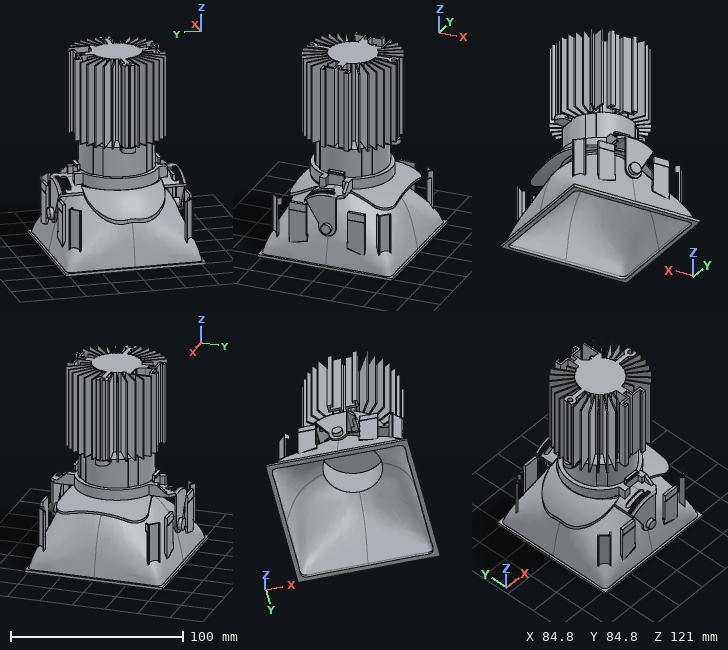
import cadquery as cq
import math


MARGIN = 1.0

TRIM_SIDE = 84.8
TRIM_THICKNESS = 1.8
SHELL_WALL = 1.5
SHELL_RADIUS = 38.0
SPHERE_Z = 10.6
SHELL_FOOT_HALF = 40.9
SHELL_WAIST_Z = 14.0
SHELL_WAIST_HALF = 38.4
SHELL_ROUND_Z = 27.0
SHELL_TOP_Z = 43.6
SHELL_SPLINE_POINTS = 14

PIVOT_Z = 25.0
STUD_END_Y = 41.0
FRONT_STUD_RADIUS = 3.05
BACK_STUD_RADIUS = 3.6

CLIP_TOP_Z = 37.6
CLIP_STEP_Z = 32.8
CLIP_WIDTH = 10.6
CLIP_CENTRE_X = 18.4
CLIP_INNER_Y = 37.2
CLIP_OUTER_Y = 39.0
CLIP_HEAD_Y = 39.3
CLIP_FOOT_Z = 11.3
CLIP_FOOT_SLOPE = 2.9
CLIP_TOE = 0.5
CLIP_TOE_Z = 18.0

CORNER_CLIP_RADIUS = 47.9
CORNER_CLIP_WIDTH = 7.8
CORNER_CLIP_WALL = 0.8
CORNER_CLIP_FLANGE = 0.5
CORNER_CLIP_FOOT_Z = 11.8
CORNER_TAB_DEPTH = 2.2
CORNER_CLIPS = [
    (45, -1, CLIP_STEP_Z),
    (135, -1, CLIP_STEP_Z),
    (225, 1, CLIP_STEP_Z),
    (315, -1, CORNER_CLIP_FOOT_Z),
]

RING_RADIUS = 24.7
RING_BOTTOM_Z = 43.9
RING_TOP_Z = 51.2
TUBE_HALF_X = 22.0
TUBE_HALF_Y = 22.5
TUBE_BORE_RADIUS = 20.5
TUBE_TOP_Z = 69.2
TUBE_ROOF = 2.0
TUBE_CHANNEL_WIDTH = 6.5
TUBE_CHANNEL_FLOOR = 21.6
EAR_X = 26.0
EAR_RADIUS = 4.05
EAR_BOTTOM_Z = 67.8

DOME_RADIUS = 41.2
DOME_CROWN_RADIUS = 48.0
DOME_THICKNESS = 1.0
DOME_END_X = -36.4
DOME_HALF_WIDTH = 24.1
DOME_CORNER = 20.5

FLAP_RADIUS = 84.0
FLAP_CENTRE_Z = -35.6
FLAP_THICKNESS = 1.2
FLAP_END_X = 35.0
FLAP_WIDE_X = 25.0
FLAP_HALF_WIDTH = 27.8
FLAP_ROOT_X = 9.3
FLAP_ROOT_HALF_WIDTH = 24.6
FLAP_CORNER = 9.5

ARM_INNER_Y = 37.4
ARM_OUTER_Y = 38.6
ARM_END_RADIUS = 5.3
DECK_INNER_RADIUS = 20.3
DECK_OUTER_RADIUS = 21.5
DECK_LEFT_X = -14.2
DECK_RIGHT_X = 9.3
DECK_FLAT_BOTTOM_Z = 44.3
ARM_TOP_RADIUS = DECK_INNER_RADIUS + 0.3
ARM_LEFT_X = -13.5
ARM_NECK_HEIGHT = 2.0
DECK_INNER_Y = 23.5
DECK_CORNER = 3.3
DECK_BEND = 1.1
DECK_SLOT_X = -5.35
DECK_SLOT_Y = 32.0
DECK_SLOT_LENGTH = 14.1
DECK_SLOT_WIDTH = 3.2
RACK_Y = (34.3, 36.3)
RACK_DEPTH = 0.6
RACK_PITCH_ANGLE = 1.8
RACK_GROOVES = 28
RACK_END_ANGLE = 8.0

LUG_INNER_X = 5.3
LUG_OUTER_X = 9.3
LUG_INNER_Y = 22.9
LUG_OUTER_Y = 27.9
GUSSET_THICKNESS = 1.9
GUSSET_END_Y = 33.4
HOOK_WIDTH = 9.7
HOOK_INNER_Y = 23.5
HOOK_THICKNESS = 1.3
HOOK_ROOT_RISE = 0.5
HOOK_TOP_Z = 55.2
HOOK_LIP_Y = 25.8
HOOK_LIP_DROP = 1.5
HOOK_LIP_THICKNESS = 0.6

SINK_BOTTOM_Z = 71.0
SINK_HEIGHT = 50.0
CORE_RADIUS = 14.9
FIN_TIP_RADIUS = 30.0
SHORT_FIN_TIP_RADIUS = 21.0
FIN_THICKNESS = 0.8
FIN_PITCH = 10
LONG_FINS = 6
LOBE_RADIUS = 3.7
LOBE_END_X = 28.4
LOBE_ARM_WIDTH = 3.0
SCREW_HOLE_RADIUS = 1.5
SCREW_SLOT_WIDTH = 1.0
STEM_WIDTH = 4.8
STEM_SLOT_WIDTH = 2.3
STEM_SLOT_START_Y = 19.4
CHANNEL_HALF_WIDTH = 8.9
CHANNEL_BASE_Y = 23.0
CHANNEL_WALL = 1.4
CHANNEL_OUTER_Y = 27.5
CHANNEL_LIP_LENGTH = 3.0
WIRE_POCKET_FLOOR_Y = 13.3
WIRE_POCKET_CURVE = 5.0
WIRE_FLOOR_FIN = 4
WIRE_FIN_X = 12.9
WIRE_FIN_THICKNESS = 1.2
WIRE_FIN_END_Y = 25.7
WIRE_STUB_X = 7.9
WIRE_STUB_WIDTH = 1.8
WIRE_STUB_HEIGHT = 1.4

BOTH_SIDES = (1, -1)


def block(x_range, y_range, z_range):
    """Box spanning the three given ranges, whose ends may come in either order."""
    spans = [(min(r), max(r)) for r in (x_range, y_range, z_range)]
    size = [high - low for low, high in spans]
    corner = [low for low, high in spans]
    return cq.Workplane("XY").box(*size, centered=False).translate(tuple(corner))


def cylinder(radius, z_bottom, z_top, x=0.0):
    return cq.Workplane("XY", origin=(x, 0, z_bottom)).circle(radius).extrude(z_top - z_bottom)


def ball(radius, z):
    return cq.Workplane("XY").sphere(radius).translate((0, 0, z))


def mirrored_pair(shape):
    """The shape on the +Y side joined with its mirror image on the -Y side."""
    return shape.union(shape.mirror("XZ"))


def shell_half_width(z):
    return math.sqrt(SHELL_RADIUS ** 2 - (z - SPHERE_Z) ** 2)


SHELL_SECTIONS = [
    (TRIM_THICKNESS, SHELL_FOOT_HALF, 36.0),
    (SHELL_WAIST_Z, SHELL_WAIST_HALF, 7.0),
    (SHELL_ROUND_Z, shell_half_width(SHELL_ROUND_Z), 2.2),
    (SHELL_TOP_Z, shell_half_width(SHELL_TOP_Z), 2.0),
]


def superellipse_point(half_width, exponent, angle):
    """Point of the superellipse in the direction of the angle."""
    x = math.cos(angle)
    y = math.sin(angle)
    radius = half_width / (abs(x) ** exponent + abs(y) ** exponent) ** (1 / exponent)
    return (radius * x, radius * y)


def shell_section(z, half_width, exponent):
    """Closed section of four spline quarters that meet in the middle of each side."""
    quarter_turn = math.pi / 2
    wire = cq.Workplane("XY", origin=(0, 0, z)).moveTo(half_width, 0)
    for quarter in range(4):
        start = quarter * quarter_turn
        points = []
        for step in range(1, SHELL_SPLINE_POINTS + 1):
            angle = start + quarter_turn * step / SHELL_SPLINE_POINTS
            points.append(superellipse_point(half_width, exponent, angle))
        start_tangent = (-math.sin(start), math.cos(start))
        end_tangent = (-math.cos(start), -math.sin(start))
        wire = wire.spline(points, tangents=[start_tangent, end_tangent], includeCurrent=True)
    return wire.close().wire().val()


def shell_loft(inset):
    sections = []
    for z, half_width, exponent in SHELL_SECTIONS:
        sections.append(shell_section(z, half_width - inset, exponent))
    return cq.Workplane("XY").newObject([cq.Solid.makeLoft(sections)])


def side_clip(side):
    """Flat spring clip on the +Y face; its foot slants up towards the middle of the face."""
    half = CLIP_WIDTH / 2
    profile = [
        (CLIP_INNER_Y, CLIP_FOOT_Z), (CLIP_OUTER_Y, CLIP_FOOT_Z), (CLIP_OUTER_Y, CLIP_STEP_Z),
        (CLIP_HEAD_Y, CLIP_STEP_Z), (CLIP_OUTER_Y, CLIP_TOP_Z), (CLIP_INNER_Y, CLIP_TOP_Z),
    ]
    width = CLIP_WIDTH + CLIP_TOE
    bar = cq.Workplane("YZ").polyline(profile).close().extrude(width).translate((-half, 0, 0))
    outline = [
        (-half, CLIP_FOOT_Z), (half + CLIP_TOE, CLIP_FOOT_Z + CLIP_FOOT_SLOPE),
        (half + CLIP_TOE, CLIP_TOE_Z), (half, CLIP_TOE_Z), (half, CLIP_TOP_Z), (-half, CLIP_TOP_Z),
    ]
    cutter = cq.Workplane("XZ").polyline(outline).close().extrude(-TRIM_SIDE)
    clip = bar.intersect(cutter).translate((-CLIP_CENTRE_X, 0, 0))
    return clip if side < 0 else clip.mirror("YZ")


def corner_clip(angle, tab_side, tab_bottom_z):
    """Channel-shaped clip across a corner, open outwards, with an inward tab at one edge."""
    half = CORNER_CLIP_WIDTH / 2
    z_range = (CORNER_CLIP_FOOT_Z, CLIP_TOP_Z)
    outer = CORNER_CLIP_RADIUS + CORNER_CLIP_WALL
    clip = block((CORNER_CLIP_RADIUS, outer), (-half, half), z_range)
    for side in BOTH_SIDES:
        edge = (side * half, side * (half - CORNER_CLIP_WALL))
        clip = clip.union(block((CORNER_CLIP_RADIUS, outer + CORNER_CLIP_FLANGE), edge, z_range))
    tab_edge = (tab_side * half, tab_side * (half - CORNER_CLIP_WALL))
    tab_reach = (CORNER_CLIP_RADIUS - CORNER_TAB_DEPTH, outer)
    clip = clip.union(block(tab_reach, tab_edge, (tab_bottom_z, CLIP_TOP_Z)))
    return clip.rotate((0, 0, 0), (0, 0, 1), angle)


def frame_fittings():
    """Spring clips and pivot studs, not yet joined to the shell."""
    pivot_plane = cq.Workplane("XZ", origin=(0, 0, PIVOT_Z))
    fittings = pivot_plane.circle(FRONT_STUD_RADIUS).extrude(STUD_END_Y)
    fittings = fittings.union(pivot_plane.circle(BACK_STUD_RADIUS).extrude(-STUD_END_Y))
    for side in BOTH_SIDES:
        fittings = fittings.union(mirrored_pair(side_clip(side)))
    for angle, tab_side, tab_bottom_z in CORNER_CLIPS:
        fittings = fittings.union(corner_clip(angle, tab_side, tab_bottom_z))
    return fittings


def make_frame():
    trim = cq.Workplane("XY").rect(TRIM_SIDE, TRIM_SIDE).extrude(TRIM_THICKNESS)
    frame = trim.union(shell_loft(0)).union(frame_fittings())
    foot_z, foot_half, foot_exponent = SHELL_SECTIONS[0]
    mouth_wire = shell_section(0, foot_half - SHELL_WALL, foot_exponent)
    mouth = cq.Workplane("XY").newObject([mouth_wire]).toPending().extrude(foot_z)
    return frame.cut(shell_loft(SHELL_WALL)).cut(mouth)


def holder_tube():
    """Closed-top tube of slightly oval section with four diagonal channels, standing in its ring."""
    tube = cq.Workplane("XY", origin=(0, 0, RING_BOTTOM_Z))
    tube = tube.ellipse(TUBE_HALF_X, TUBE_HALF_Y).extrude(TUBE_TOP_Z - RING_BOTTOM_Z)
    half_channel = TUBE_CHANNEL_WIDTH / 2
    channel_reach = (TUBE_CHANNEL_FLOOR, TUBE_HALF_Y + MARGIN)
    channel = block(channel_reach, (-half_channel, half_channel), (RING_TOP_Z, TUBE_TOP_Z))
    for angle in (45, 135, 225, 315):
        tube = tube.cut(channel.rotate((0, 0, 0), (0, 0, 1), angle))
    return tube.union(cylinder(RING_RADIUS, RING_BOTTOM_Z, RING_TOP_Z))


def ear(side):
    """Tongue on the tube carrying the post on which the heat sink stands."""
    x = side * EAR_X
    tongue_x = (side * TUBE_BORE_RADIUS, x)
    tongue = block(tongue_x, (-EAR_RADIUS, EAR_RADIUS), (EAR_BOTTOM_Z, TUBE_TOP_Z))
    return tongue.union(cylinder(EAR_RADIUS, EAR_BOTTOM_Z, SINK_BOTTOM_Z, x))


def barrel(radius, crown_radius):
    """Barrel lying along Y: radius at mid length, crown_radius is that of its bulging side."""
    half = DOME_HALF_WIDTH + MARGIN
    end_radius = radius - crown_radius + math.sqrt(crown_radius ** 2 - half ** 2)
    profile = cq.Workplane("XY").moveTo(0, -half).lineTo(end_radius, -half)
    profile = profile.threePointArc((radius, 0), (end_radius, half)).lineTo(0, half).close()
    return profile.revolve(360, (0, 0, 0), (0, 1, 0)).translate((0, 0, SPHERE_Z))


def dome_skirt():
    outline = block((DOME_END_X, 0), (-DOME_HALF_WIDTH, DOME_HALF_WIDTH), (SPHERE_Z, RING_BOTTOM_Z))
    outline = outline.edges("|Z and <X").fillet(DOME_CORNER)
    shell = barrel(DOME_RADIUS, DOME_CROWN_RADIUS)
    shell = shell.cut(barrel(DOME_RADIUS - DOME_THICKNESS, DOME_CROWN_RADIUS - DOME_THICKNESS))
    return shell.intersect(outline)


def flap():
    outline = [
        (0, -FLAP_ROOT_HALF_WIDTH), (FLAP_ROOT_X, -FLAP_ROOT_HALF_WIDTH),
        (FLAP_WIDE_X, -FLAP_HALF_WIDTH), (FLAP_END_X, -FLAP_HALF_WIDTH),
        (FLAP_END_X, FLAP_HALF_WIDTH), (FLAP_WIDE_X, FLAP_HALF_WIDTH),
        (FLAP_ROOT_X, FLAP_ROOT_HALF_WIDTH), (0, FLAP_ROOT_HALF_WIDTH),
    ]
    column = cq.Workplane("XY").polyline(outline).close().extrude(RING_TOP_Z)
    column = column.edges("|Z and >X").fillet(FLAP_CORNER)
    shell = ball(FLAP_RADIUS, FLAP_CENTRE_Z).cut(ball(FLAP_RADIUS - FLAP_THICKNESS, FLAP_CENTRE_Z))
    return shell.intersect(column)


def on_pivot_circle(radius, x):
    return (x, PIVOT_Z + math.sqrt(radius ** 2 - x ** 2))


def deck():
    """Deck joining the ring to an arm: an arc about the pivot that runs out flat to +X."""
    top_z = PIVOT_Z + DECK_OUTER_RADIUS
    middle_x = DECK_LEFT_X / 2
    profile = (
        cq.Workplane("XZ")
        .moveTo(*on_pivot_circle(DECK_OUTER_RADIUS, DECK_LEFT_X))
        .threePointArc(on_pivot_circle(DECK_OUTER_RADIUS, middle_x), (0, top_z))
        .lineTo(DECK_RIGHT_X, top_z)
        .lineTo(DECK_RIGHT_X, DECK_FLAT_BOTTOM_Z)
        .lineTo(*on_pivot_circle(DECK_INNER_RADIUS, LUG_INNER_X))
        .threePointArc((0, PIVOT_Z + DECK_INNER_RADIUS), on_pivot_circle(DECK_INNER_RADIUS, DECK_LEFT_X))
        .close()
    )
    plate = profile.extrude(-(ARM_OUTER_Y - DECK_INNER_Y)).translate((0, DECK_INNER_Y, 0))
    bend_x, bend_z = on_pivot_circle(DECK_OUTER_RADIUS, middle_x)
    bend_edge = cq.selectors.NearestToPointSelector((bend_x, ARM_OUTER_Y, bend_z))
    plate = plate.edges(bend_edge).fillet(DECK_BEND)
    corner = [
        (DECK_RIGHT_X, ARM_OUTER_Y), (DECK_RIGHT_X - DECK_CORNER, ARM_OUTER_Y),
        (DECK_RIGHT_X, ARM_OUTER_Y - DECK_CORNER),
    ]
    plate = plate.cut(cq.Workplane("XY").polyline(corner).close().extrude(RING_TOP_Z))
    slot = cq.Workplane("XY").center(DECK_SLOT_X, DECK_SLOT_Y).slot2D(DECK_SLOT_LENGTH, DECK_SLOT_WIDTH)
    return plate.cut(slot.extrude(RING_TOP_Z))


def rack_grooves():
    """Fine grooves across the deck, spaced by angle around the pivot."""
    groove_half = DECK_OUTER_RADIUS * math.radians(RACK_PITCH_ANGLE) / 4
    top_z = PIVOT_Z + DECK_OUTER_RADIUS
    groove = block((-groove_half, groove_half), RACK_Y, (top_z - RACK_DEPTH, top_z + MARGIN))
    grooves = cq.Workplane("XY")
    for index in range(RACK_GROOVES):
        angle = RACK_END_ANGLE - index * RACK_PITCH_ANGLE
        grooves = grooves.add(groove.rotate((0, 0, PIVOT_Z), (0, 1, PIVOT_Z), angle))
    return grooves.combine()


def arm(stud_radius):
    """Sector-shaped plate hanging from the deck to the pivot stud."""
    top_left = on_pivot_circle(ARM_TOP_RADIUS, ARM_LEFT_X)
    top_middle = (0, PIVOT_Z + ARM_TOP_RADIUS)
    top_right = on_pivot_circle(ARM_TOP_RADIUS, ARM_END_RADIUS)
    plate = (
        cq.Workplane("XZ")
        .moveTo(*top_left)
        .threePointArc(top_middle, top_right)
        .lineTo(ARM_END_RADIUS, PIVOT_Z)
        .threePointArc((0, PIVOT_Z - ARM_END_RADIUS), (-ARM_END_RADIUS, PIVOT_Z))
        .lineTo(-ARM_END_RADIUS, PIVOT_Z + ARM_NECK_HEIGHT)
        .close()
        .moveTo(0, PIVOT_Z)
        .circle(stud_radius)
        .extrude(-(ARM_OUTER_Y - ARM_INNER_Y))
    )
    return plate.translate((0, ARM_INNER_Y, 0))


def lugs_and_hook():
    """Two lugs on the ring, a gusset behind the right one and a sprung hook between them."""
    lug_z = (DECK_FLAT_BOTTOM_Z, RING_TOP_Z)
    lugs = block((LUG_INNER_X, LUG_OUTER_X), (LUG_INNER_Y, LUG_OUTER_Y), lug_z)
    lugs = lugs.union(lugs.mirror("YZ"))
    deck_top_z = PIVOT_Z + DECK_OUTER_RADIUS
    slope = [
        (LUG_INNER_Y, RING_TOP_Z), (LUG_OUTER_Y, RING_TOP_Z), (GUSSET_END_Y, deck_top_z),
        (GUSSET_END_Y, DECK_FLAT_BOTTOM_Z), (LUG_INNER_Y, DECK_FLAT_BOTTOM_Z),
    ]
    gusset = cq.Workplane("YZ", origin=(LUG_OUTER_X - GUSSET_THICKNESS, 0, 0))
    gusset = gusset.polyline(slope).close().extrude(GUSSET_THICKNESS)
    half_hook = HOOK_WIDTH / 2
    hook_x = (-half_hook, half_hook)
    tongue_y = (HOOK_INNER_Y, HOOK_INNER_Y + HOOK_THICKNESS)
    tongue = block(hook_x, tongue_y, (RING_BOTTOM_Z, HOOK_TOP_Z))
    root = block((-LUG_INNER_X, LUG_INNER_X), tongue_y, (RING_BOTTOM_Z, RING_TOP_Z + HOOK_ROOT_RISE))
    lip_top = block(hook_x, (HOOK_INNER_Y, HOOK_LIP_Y), (HOOK_TOP_Z - HOOK_LIP_THICKNESS, HOOK_TOP_Z))
    lip_y = (HOOK_LIP_Y - HOOK_LIP_THICKNESS, HOOK_LIP_Y)
    lip = block(hook_x, lip_y, (HOOK_TOP_Z - HOOK_LIP_DROP, HOOK_TOP_Z))
    return lugs.union(gusset).union(root).union(tongue).union(lip_top).union(lip)


def make_holder():
    holder = holder_tube().union(dome_skirt()).union(flap())
    for side in BOTH_SIDES:
        holder = holder.union(ear(side))
    holder = holder.union(mirrored_pair(deck().cut(rack_grooves()).union(lugs_and_hook())))
    holder = holder.union(arm(BACK_STUD_RADIUS)).union(arm(FRONT_STUD_RADIUS).mirror("XZ"))
    return holder.cut(cylinder(TUBE_BORE_RADIUS, SPHERE_Z, TUBE_TOP_Z - TUBE_ROOF))


SINK_Z = (SINK_BOTTOM_Z, SINK_BOTTOM_Z + SINK_HEIGHT)


def fin(angle, tip_radius):
    half = FIN_THICKNESS / 2
    return block((0, tip_radius), (-half, half), SINK_Z).rotate((0, 0, 0), (0, 0, 1), angle)


def quadrant_fins(long_count, short_count):
    """Fins of the +X +Y quadrant, counted from the X axis: long ones, then short ones."""
    fins = cylinder(CORE_RADIUS, *SINK_Z)
    for index in range(1, long_count + short_count + 1):
        tip_radius = FIN_TIP_RADIUS if index <= long_count else SHORT_FIN_TIP_RADIUS
        fins = fins.union(fin(index * FIN_PITCH, tip_radius))
    return fins


def screw_lobe():
    """Arm along +X ending in a C-shaped screw lobe that opens outwards."""
    half_arm = LOBE_ARM_WIDTH / 2
    lobe = cylinder(LOBE_RADIUS, *SINK_Z, x=EAR_X).union(block((0, EAR_X), (-half_arm, half_arm), SINK_Z))
    lobe = lobe.intersect(block((0, LOBE_END_X), (-LOBE_RADIUS, LOBE_RADIUS), SINK_Z))
    half_slot = SCREW_SLOT_WIDTH / 2
    lobe = lobe.cut(cylinder(SCREW_HOLE_RADIUS, *SINK_Z, x=EAR_X))
    return lobe.cut(block((EAR_X, LOBE_END_X), (-half_slot, half_slot), SINK_Z))


def mounting_channel():
    """Stem along +Y carrying a lipped channel that opens outwards, with a slot in the stem."""
    half_stem = STEM_WIDTH / 2
    channel = block((-half_stem, half_stem), (0, CHANNEL_BASE_Y), SINK_Z)
    full_width = (-CHANNEL_HALF_WIDTH, CHANNEL_HALF_WIDTH)
    channel = channel.union(block(full_width, (CHANNEL_BASE_Y, CHANNEL_OUTER_Y), SINK_Z))
    inner_half = CHANNEL_HALF_WIDTH - CHANNEL_WALL
    inner_y = (CHANNEL_BASE_Y + CHANNEL_WALL, CHANNEL_OUTER_Y - CHANNEL_WALL)
    channel = channel.cut(block((-inner_half, inner_half), inner_y, SINK_Z))
    half_mouth = CHANNEL_HALF_WIDTH - CHANNEL_LIP_LENGTH
    channel = channel.cut(block((-half_mouth, half_mouth), (inner_y[0], CHANNEL_OUTER_Y), SINK_Z))
    half_slot = STEM_SLOT_WIDTH / 2
    return channel.cut(block((-half_slot, half_slot), (STEM_SLOT_START_Y, CHANNEL_OUTER_Y), SINK_Z))


def wire_pocket_walls():
    """Floor, stub and straight outer fin of the wire pocket beside the back stem."""
    right_x = WIRE_FIN_X + WIRE_FIN_THICKNESS
    fin_y = right_x * math.tan(math.radians(WIRE_FLOOR_FIN * FIN_PITCH))
    floor = (
        cq.Workplane("XY", origin=(0, 0, SINK_BOTTOM_Z))
        .polyline([(0, 0), (right_x, fin_y), (right_x, WIRE_POCKET_FLOOR_Y), (0, WIRE_POCKET_FLOOR_Y)])
        .close()
        .extrude(SINK_HEIGHT)
    )
    wall = block((WIRE_FIN_X, right_x), (WIRE_POCKET_FLOOR_Y - MARGIN, WIRE_FIN_END_Y), SINK_Z)
    half_stub = WIRE_STUB_WIDTH / 2
    stub_y = (WIRE_POCKET_FLOOR_Y - MARGIN, WIRE_POCKET_FLOOR_Y + WIRE_STUB_HEIGHT)
    stub = block((WIRE_STUB_X - half_stub, WIRE_STUB_X + half_stub), stub_y, SINK_Z)
    curve_x = STEM_WIDTH / 2 + WIRE_POCKET_CURVE
    curve_y = WIRE_POCKET_FLOOR_Y + WIRE_POCKET_CURVE
    corner = block((0, curve_x), (0, curve_y), SINK_Z)
    curve = cylinder(WIRE_POCKET_CURVE, *SINK_Z, x=curve_x).translate((0, curve_y, 0))
    return floor.union(wall).union(corner.cut(curve)).union(stub)


def make_heat_sink():
    full_quadrant = quadrant_fins(LONG_FINS, 1)
    sink = quadrant_fins(LONG_FINS - 1, 0)
    sink = sink.union(full_quadrant.mirror("YZ")).union(full_quadrant.mirror("XZ"))
    sink = sink.union(full_quadrant.rotate((0, 0, 0), (0, 0, 1), 180))
    sink = sink.union(screw_lobe()).union(screw_lobe().mirror("YZ"))
    sink = sink.union(mirrored_pair(mounting_channel()))
    pocket_x = (STEM_WIDTH / 2, WIRE_FIN_X)
    pocket_y = (WIRE_POCKET_FLOOR_Y, CHANNEL_BASE_Y)
    return sink.cut(block(pocket_x, pocket_y, SINK_Z)).union(wire_pocket_walls())


frame = make_frame()
holder = make_holder()
heat_sink = make_heat_sink()

bodies = [frame.solids().val(), holder.solids().val(), heat_sink.solids().val()]
result = cq.Compound.makeCompound(bodies)